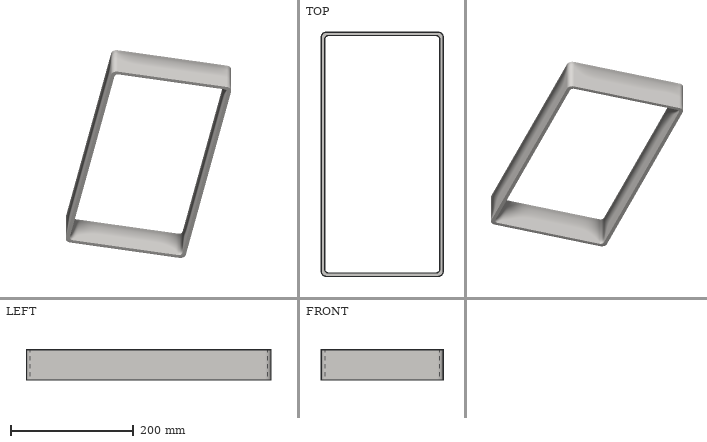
import cadquery as cq

width = 200.0
depth = 400.0
height = 50.0
wall = 6.0
outer_radius = 1.5 * wall
inner_radius = wall


def rounded_block(size_x, size_y, corner_radius):
    """Full-height block with rounded vertical edges, centred on the Z axis."""
    block = cq.Workplane("XY").rect(size_x, size_y).extrude(height)
    return block.edges("|Z").fillet(corner_radius)


outer_block = rounded_block(width, depth, outer_radius)
opening = rounded_block(width - 2 * wall, depth - 2 * wall, inner_radius)

result = outer_block.cut(opening)